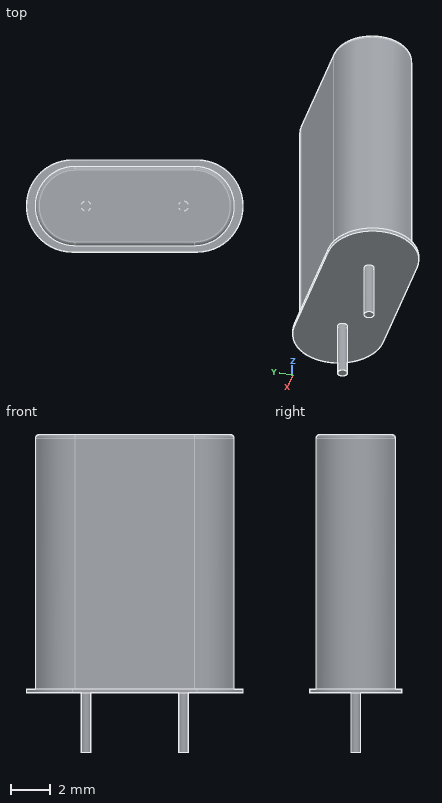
import cadquery as cq

can_top = 13.0
pin_length = 3.0

flange_length = 10.9
flange_width = 4.65
flange_thickness = 0.2

can_length = 10.0
can_width = 4.0
can_edge_radius = 0.2

pin_diameter = 0.5
pin_pitch = 4.9


def oblong_prism(length, width, bottom, top):
    """Vertical prism with full-radius ends, long axis along X."""
    return cq.Workplane("XY").workplane(offset=bottom).slot2D(length, width).extrude(top - bottom)


def make_flange():
    return oblong_prism(flange_length, flange_width, 0, flange_thickness)


def make_can():
    can = oblong_prism(can_length, can_width, 0, can_top)
    return can.faces(">Z").edges().fillet(can_edge_radius)


def make_pins():
    return (
        cq.Workplane("XY")
        .workplane(offset=-pin_length)
        .pushPoints([(-pin_pitch / 2, 0), (pin_pitch / 2, 0)])
        .circle(pin_diameter / 2)
        .extrude(pin_length + flange_thickness)
    )


result = make_flange().union(make_can()).union(make_pins())